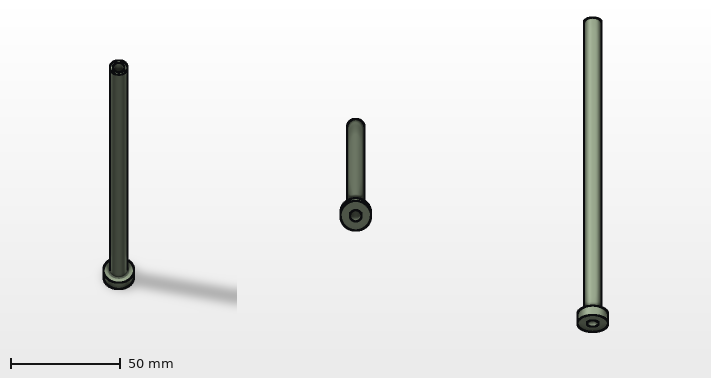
import cadquery as cq

total_length = 165.0
head_diameter = 14.0
head_height = 5.1
tube_diameter = 8.1
bore_diameter = 5.3
root_fillet = 0.5

head = cq.Workplane("XY").circle(head_diameter / 2).extrude(head_height)
tube = cq.Workplane("XY").circle(tube_diameter / 2).extrude(total_length)

root_edge = cq.selectors.RadiusNthSelector(0)
sleeve = head.union(tube).faces("<Z[1]").edges(root_edge).fillet(root_fillet)

bore = cq.Workplane("XY").circle(bore_diameter / 2).extrude(total_length)
result = sleeve.cut(bore)